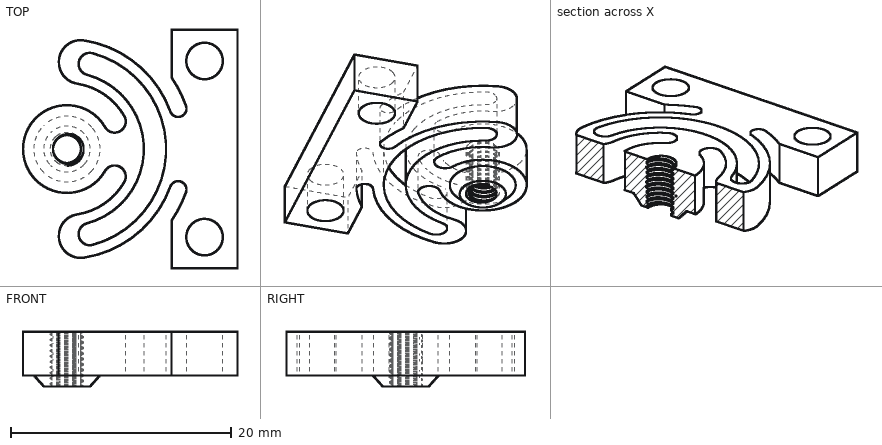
import cadquery as cq
import math

PLATE_THICKNESS = 4.0

HUB_RADIUS = 4.0
NOSE_TOP_RADIUS = 3.0
NOSE_TIP_RADIUS = 2.1
NOSE_HEIGHT = 1.0

GAP_WIDTH = 2.0
BEAM_THICKNESS = 1.0
INNER_BEAM_RADIUS = HUB_RADIUS + GAP_WIDTH
SLOT_INNER_RADIUS = INNER_BEAM_RADIUS + BEAM_THICKNESS
SLOT_OUTER_RADIUS = SLOT_INNER_RADIUS + GAP_WIDTH
OUTER_BEAM_RADIUS = SLOT_OUTER_RADIUS + BEAM_THICKNESS
ARM_END_ANGLE = 81.0
SLOT_END_ANGLE = 75.0
HUB_GAP_END_ANGLE = 30.0

BLOCK_GAP_WIDTH = 1.5
BLOCK_GAP_OUTER_RADIUS = OUTER_BEAM_RADIUS + BLOCK_GAP_WIDTH
BLOCK_GAP_END_ANGLE = 20.0
GAP_FAR_ANGLE = 100.0

BLOCK_FRONT_X = 9.5
BLOCK_DEPTH = 6.0
BLOCK_LENGTH = 21.7
MOUNT_HOLE_DIAMETER = 3.3
MOUNT_HOLE_X = BLOCK_FRONT_X + BLOCK_DEPTH / 2
MOUNT_HOLE_SPACING = 16.0

THREAD_PITCH = 0.5
THREAD_MINOR_RADIUS = 2.52 / 2
THREAD_MAJOR_RADIUS = 3.04 / 2
THREAD_ROOT_WIDTH = THREAD_PITCH / 8
THREAD_MOUTH_WIDTH = THREAD_PITCH * 3 / 4
THREAD_OVERLAP = 0.05


def polar(radius, angle):
    """Point at a radius and an angle in degrees about the hub axis."""
    return (radius * math.cos(math.radians(angle)), radius * math.sin(math.radians(angle)))


def arc_band(inner_radius, outer_radius, start_angle, end_angle):
    """Plate-thick band along an arc about the hub, with full-round ends."""
    mid_radius = (inner_radius + outer_radius) / 2
    cap_radius = (outer_radius - inner_radius) / 2
    mid_angle = (start_angle + end_angle) / 2
    cap_reach = math.hypot(mid_radius, cap_radius)
    cap_angle = math.degrees(math.atan2(cap_radius, mid_radius))
    start_tip = polar(cap_reach, start_angle - cap_angle)
    end_tip = polar(cap_reach, end_angle + cap_angle)
    return (
        cq.Workplane("XY")
        .moveTo(*polar(outer_radius, start_angle))
        .threePointArc(polar(outer_radius, mid_angle), polar(outer_radius, end_angle))
        .threePointArc(end_tip, polar(inner_radius, end_angle))
        .threePointArc(polar(inner_radius, mid_angle), polar(inner_radius, start_angle))
        .threePointArc(start_tip, polar(outer_radius, start_angle))
        .close()
        .extrude(PLATE_THICKNESS)
    )


def sector(radius, half_angle):
    """Pie-shaped plate from the hub axis, symmetric about +X."""
    return (
        cq.Workplane("XY")
        .moveTo(0, 0)
        .lineTo(*polar(radius, -half_angle))
        .threePointArc((radius, 0), polar(radius, half_angle))
        .close()
        .extrude(PLATE_THICKNESS)
    )


def mounting_block():
    """Rectangular block with two through holes."""
    holes = [(MOUNT_HOLE_X, side * MOUNT_HOLE_SPACING / 2) for side in (-1, 1)]
    return (
        cq.Workplane("XY")
        .center(MOUNT_HOLE_X, 0)
        .rect(BLOCK_DEPTH, BLOCK_LENGTH)
        .extrude(PLATE_THICKNESS)
        .cut(cq.Workplane("XY").pushPoints(holes).circle(MOUNT_HOLE_DIAMETER / 2).extrude(PLATE_THICKNESS))
    )


def flexure_plate():
    """Hub, curved arms and mounting block, parted by the arc-shaped gaps."""
    plate = cq.Workplane("XY").circle(HUB_RADIUS).extrude(PLATE_THICKNESS)
    plate = plate.union(sector(INNER_BEAM_RADIUS, HUB_GAP_END_ANGLE))
    plate = plate.union(sector(BLOCK_GAP_OUTER_RADIUS, BLOCK_GAP_END_ANGLE))
    plate = plate.union(arc_band(INNER_BEAM_RADIUS, OUTER_BEAM_RADIUS, -ARM_END_ANGLE, ARM_END_ANGLE))
    plate = plate.union(mounting_block())
    plate = plate.cut(arc_band(SLOT_INNER_RADIUS, SLOT_OUTER_RADIUS, -SLOT_END_ANGLE, SLOT_END_ANGLE))
    hub_gap = arc_band(HUB_RADIUS, INNER_BEAM_RADIUS, HUB_GAP_END_ANGLE, GAP_FAR_ANGLE)
    block_gap = arc_band(OUTER_BEAM_RADIUS, BLOCK_GAP_OUTER_RADIUS, BLOCK_GAP_END_ANGLE, GAP_FAR_ANGLE)
    for gap in (hub_gap, block_gap):
        plate = plate.cut(gap).cut(gap.mirror("XZ"))
    return plate


def nose():
    """Cone tapering down from the underside of the hub."""
    return (
        cq.Workplane("XZ")
        .moveTo(0, 0)
        .lineTo(NOSE_TOP_RADIUS, 0)
        .lineTo(NOSE_TIP_RADIUS, -NOSE_HEIGHT)
        .lineTo(0, -NOSE_HEIGHT)
        .close()
        .revolve(360, (0, 0, 0), (0, 1, 0))
    )


def bore():
    """Minor-diameter hole through hub and nose."""
    length = PLATE_THICKNESS + NOSE_HEIGHT
    return cq.Workplane("XY", origin=(0, 0, -NOSE_HEIGHT)).circle(THREAD_MINOR_RADIUS).extrude(length)


def thread_groove():
    """Right-hand helical groove cutter, running past both ends of the bore by one pitch."""
    start_z = -NOSE_HEIGHT - THREAD_PITCH
    length = PLATE_THICKNESS + NOSE_HEIGHT + 2 * THREAD_PITCH
    flank_slope = (THREAD_MOUTH_WIDTH - THREAD_ROOT_WIDTH) / 2 / (THREAD_MAJOR_RADIUS - THREAD_MINOR_RADIUS)
    inner_radius = THREAD_MINOR_RADIUS - THREAD_OVERLAP
    inner_half_width = THREAD_MOUTH_WIDTH / 2 + THREAD_OVERLAP * flank_slope
    root_half_width = THREAD_ROOT_WIDTH / 2
    helix = cq.Wire.makeHelix(THREAD_PITCH, length, THREAD_MINOR_RADIUS, center=cq.Vector(0, 0, start_z))
    return (
        cq.Workplane("XZ")
        .polyline(
            [
                (inner_radius, start_z - inner_half_width),
                (THREAD_MAJOR_RADIUS, start_z - root_half_width),
                (THREAD_MAJOR_RADIUS, start_z + root_half_width),
                (inner_radius, start_z + inner_half_width),
            ]
        )
        .close()
        .sweep(cq.Workplane(obj=helix), isFrenet=True)
    )


result = flexure_plate().union(nose()).cut(thread_groove()).cut(bore())